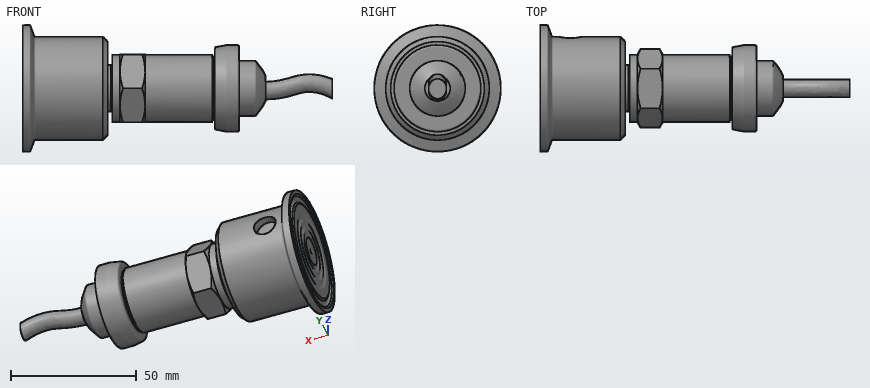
import cadquery as cq
import math


flange_r = 50.5 / 2
flange_round = 0.6
rim_end_x = 3.1
flange_back_angle = 20.0
barrel_r = 20.6
flange_foot_round = 0.6
housing_end_x = 33.9
housing_chamfer = 2.0
boss_r = 18.6 / 2
boss_tip_r = 17.5 / 2
side_hole_x = 12.1
side_hole_d = 9.3
side_hole_depth = 3.7

groove_r = 21.6
groove_half_width = 4.1 / 2
groove_wall_half_width = 1.2
groove_shoulder_depth = 0.5
groove_depth = 1.4
wave_outer_r = 31.5 / 2
wave_pitch = 7.0 / 2
wave_trough_width = 2.3
wave_slope_angle = 30.0
wave_count = 3
dimple_r = 1.0
dimple_edge_width = 0.5

body_start_x = 35.7
hex_start_x = 38.7
hex_end_x = 48.9
sleeve_end_x = 75.5
sleeve_r = 26.9 / 2
hex_across_flats = 27.1
hex_chamfer_angle = 30.0
spigot_r = 21.0 / 2

seal_front_r = 25.2 / 2
seal_back_r = 25.5 / 2
seal_step_x = 76.0

cap_start_x = 76.5
cap_cone_end_x = 81.2
cap_end_x = 86.3
cap_front_r = 16.4
cap_r = 17.3
cap_front_round = 0.9
cap_back_round = 0.9

gland_r = 22.1 / 2
gland_shoulder_x = 92.7
gland_end_x = 96.7
gland_nose_r = 5.0
gland_dome_bulge = 0.2
gland_shoulder_round = 0.9

cable_d = 7.2
cable_end_x = 123.4
cable_start_z = -0.9
cable_crest_x = 113.8
cable_crest_z = 2.1
cable_end_z = -0.1
cable_end_slope = -0.5


def revolve_about_x(profile):
    """Turn a closed (x, radius) profile into a solid of revolution about the X axis."""
    return profile.close().revolve(360, (0, 0, 0), (1, 0, 0))


def x_cylinder(start_x, end_x, radius):
    return cq.Workplane("YZ", origin=(start_x, 0, 0)).circle(radius).extrude(end_x - start_x)


def ring_at(x, radius):
    """Selector for the circular edge with this station and radius."""
    margin = 0.06
    reach = radius + margin
    return cq.selectors.BoxSelector(
        (x - margin, -reach, -reach), (x + margin, reach, reach), boundingbox=True
    ) - cq.selectors.BoxSelector(
        (x - margin, margin - radius, margin - radius),
        (x + margin, radius - margin, radius - margin),
        boundingbox=True,
    )


def make_gasket_groove():
    """Ring-shaped cutter for the clamp gasket, round at the bottom with flared sides."""
    inner_r = groove_r - groove_half_width
    outer_r = groove_r + groove_half_width
    halfway = math.radians(45)
    trough_depth = groove_depth - groove_shoulder_depth
    mid_offset = groove_wall_half_width * math.sin(halfway)
    mid_depth = groove_shoulder_depth + trough_depth * math.sin(halfway)
    inner_middle = (mid_depth, groove_r - mid_offset)
    outer_middle = (mid_depth, groove_r + mid_offset)
    return revolve_about_x(
        cq.Workplane("XY")
        .moveTo(0, inner_r)
        .lineTo(groove_shoulder_depth, groove_r - groove_wall_half_width)
        .threePointArc(inner_middle, (groove_depth, groove_r))
        .threePointArc(outer_middle, (groove_shoulder_depth, groove_r + groove_wall_half_width))
        .lineTo(0, outer_r)
    )


def arc_depth(half_width, angle):
    """Rise of an arc that starts level and reaches the given slope angle after half_width."""
    return half_width * math.tan(math.radians(angle) / 2)


def arc_middle(half_width, angle):
    """Offset along the width and rise at the middle of that same arc."""
    slope = math.radians(angle)
    arc_r = half_width / math.sin(slope)
    return arc_r * math.sin(slope / 2), arc_r * (1 - math.cos(slope / 2))


wave_crest_half = (wave_pitch - wave_trough_width) / 2
wave_crest_depth = arc_depth(wave_crest_half, wave_slope_angle)


def make_wave(index):
    """Ring-shaped cutter for one corrugation: a concave trough between two convex crest halves."""
    outer_r = wave_outer_r - index * wave_pitch
    inner_r = outer_r - wave_pitch
    trough_depth = wave_crest_depth + arc_depth(wave_trough_width / 2, wave_slope_angle)
    mid_offset, mid_depth = arc_middle(wave_crest_half, wave_slope_angle)
    return revolve_about_x(
        cq.Workplane("XY")
        .moveTo(0, inner_r)
        .threePointArc((mid_depth, inner_r + mid_offset), (wave_crest_depth, inner_r + wave_crest_half))
        .threePointArc(
            (trough_depth, (inner_r + outer_r) / 2),
            (wave_crest_depth, outer_r - wave_crest_half),
        )
        .threePointArc((mid_depth, outer_r - mid_offset), (0, outer_r))
    )


def make_diaphragm_centre():
    """Cutter for the flat centre disc, sunk to where the innermost trough starts, and its dimple."""
    disc_r = wave_outer_r - wave_count * wave_pitch + wave_crest_half
    dimple_edge_depth = wave_crest_depth + arc_depth(dimple_edge_width, wave_slope_angle)
    dimple_bottom = dimple_edge_depth + arc_depth(dimple_r, wave_slope_angle)
    edge_offset, edge_rise = arc_middle(dimple_edge_width, wave_slope_angle)
    bottom_offset, bottom_rise = arc_middle(dimple_r, wave_slope_angle)
    dimple_outer_r = dimple_r + dimple_edge_width
    return revolve_about_x(
        cq.Workplane("XY")
        .lineTo(0, disc_r)
        .lineTo(wave_crest_depth, disc_r)
        .lineTo(wave_crest_depth, dimple_outer_r)
        .threePointArc(
            (wave_crest_depth + edge_rise, dimple_outer_r - edge_offset),
            (dimple_edge_depth, dimple_r),
        )
        .threePointArc((dimple_bottom - bottom_rise, bottom_offset), (dimple_bottom, 0))
    )


def make_housing():
    cone_foot_x = rim_end_x + (flange_r - barrel_r) * math.tan(math.radians(flange_back_angle))
    blank = revolve_about_x(
        cq.Workplane("XY")
        .lineTo(0, flange_r)
        .lineTo(rim_end_x, flange_r)
        .lineTo(cone_foot_x, barrel_r)
        .lineTo(housing_end_x - housing_chamfer, barrel_r)
        .lineTo(housing_end_x, barrel_r - housing_chamfer)
        .lineTo(housing_end_x, boss_r)
        .lineTo(body_start_x - (boss_r - boss_tip_r), boss_r)
        .lineTo(body_start_x, boss_tip_r)
        .lineTo(body_start_x, 0)
    )
    blank = blank.edges(ring_at(rim_end_x, flange_r)).fillet(flange_round)
    blank = blank.edges(ring_at(cone_foot_x, barrel_r)).fillet(flange_foot_round)
    side_hole = (
        cq.Workplane("XZ", origin=(side_hole_x, barrel_r, 0))
        .circle(side_hole_d / 2)
        .extrude(side_hole_depth)
    )
    housing = blank.cut(side_hole).cut(make_gasket_groove()).cut(make_diaphragm_centre())
    for index in range(wave_count):
        housing = housing.cut(make_wave(index))
    return housing


def make_hexagon():
    """Hexagon with flats at +/-Z, its corners chamfered at both ends."""
    across_corners = hex_across_flats / math.cos(math.pi / 6)
    corner_r = across_corners / 2
    chamfer_length = (corner_r - sleeve_r) * math.tan(math.radians(hex_chamfer_angle))
    prism = (
        cq.Workplane("YZ", origin=(hex_start_x, 0, 0))
        .polygon(6, across_corners)
        .extrude(hex_end_x - hex_start_x)
    )
    envelope = x_cylinder(hex_start_x, hex_end_x, corner_r).faces("<X or >X").chamfer(
        chamfer_length, corner_r - sleeve_r
    )
    return prism.intersect(envelope)


def make_sensor_body():
    return (
        x_cylinder(body_start_x, hex_start_x, sleeve_r)
        .union(make_hexagon())
        .union(x_cylinder(hex_end_x, sleeve_end_x, sleeve_r))
        .union(x_cylinder(sleeve_end_x, cap_start_x, spigot_r))
    )


def make_seal_ring():
    return revolve_about_x(
        cq.Workplane("XY")
        .moveTo(sleeve_end_x, spigot_r)
        .lineTo(sleeve_end_x, seal_front_r)
        .lineTo(seal_step_x, seal_front_r)
        .lineTo(seal_step_x, seal_back_r)
        .lineTo(cap_start_x, seal_back_r)
        .lineTo(cap_start_x, spigot_r)
    )


def make_cap():
    return (
        revolve_about_x(
            cq.Workplane("XY")
            .moveTo(cap_start_x, 0)
            .lineTo(cap_start_x, cap_front_r)
            .lineTo(cap_cone_end_x, cap_r)
            .lineTo(cap_end_x, cap_r)
            .lineTo(cap_end_x, 0)
        )
        .faces("<X").edges().fillet(cap_front_round)
        .faces(">X").edges().fillet(cap_back_round)
    )


def make_gland():
    dome_mid_x = (gland_shoulder_x + gland_end_x) / 2 + gland_dome_bulge
    dome_mid_r = (gland_r + gland_nose_r) / 2 + gland_dome_bulge
    gland = revolve_about_x(
        cq.Workplane("XY")
        .moveTo(cap_end_x, 0)
        .lineTo(cap_end_x, gland_r)
        .lineTo(gland_shoulder_x, gland_r)
        .threePointArc((dome_mid_x, dome_mid_r), (gland_end_x, gland_nose_r))
        .lineTo(gland_end_x, 0)
    )
    return gland.edges(ring_at(gland_shoulder_x, gland_r)).fillet(gland_shoulder_round)


def make_cable():
    overrun = cable_d
    path = cq.Workplane("XZ").moveTo(gland_end_x, cable_start_z).spline(
        [(cable_crest_x, cable_crest_z), (cable_end_x, cable_end_z)],
        tangents=[(1, 0), (1, cable_end_slope)],
        includeCurrent=True,
    ).lineTo(cable_end_x + overrun, cable_end_z + overrun * cable_end_slope)
    cable = cq.Workplane("YZ", origin=(gland_end_x, 0, cable_start_z)).circle(cable_d / 2).sweep(path)
    return cable.intersect(x_cylinder(gland_end_x, cable_end_x, flange_r))


housing = make_housing()
sensor_body = make_sensor_body()
seal_ring = make_seal_ring()
cap = make_cap()
gland = make_gland()
cable = make_cable()

result = cq.Compound.makeCompound(
    [
        housing.val(),
        sensor_body.val(),
        seal_ring.val(),
        cap.val(),
        gland.val(),
        cable.val(),
    ]
)